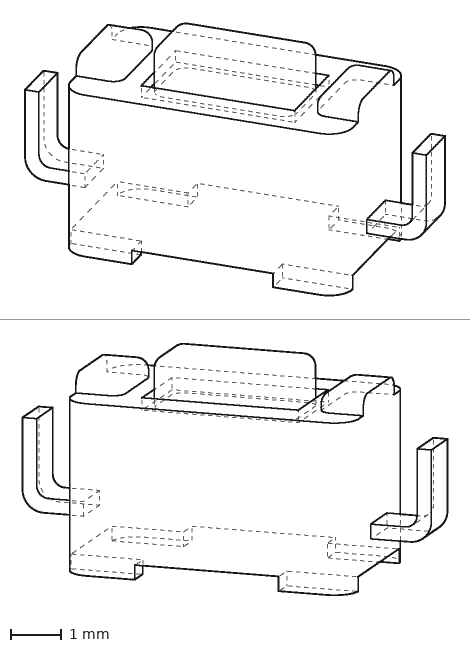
import cadquery as cq

body_length = 6.0
body_width = 3.5
body_height = 3.5
corner_radius = 0.5

foot_height = 0.3
long_channel_width = body_width - 2 * corner_radius
cross_channel_width = body_length / 2

button_length = body_length / 2
button_width = 1.5
total_height = 4.3
recess_length = 3.26
recess_width = 1.83
recess_depth = 0.25
edge_radius = 0.26

guard_length = 0.95
guard_width = 1.905
guard_height = 0.4

lead_span = 8.54
lead_thickness = 0.3
lead_width = 1.0
lead_bottom = 0.9
lead_top = 2.8
lead_inner_radius = 0.25
lead_outer_radius = 0.44


def box_on(bottom, length, width, height):
    """Box centred on the Z axis with its base at the given height."""
    return (
        cq.Workplane("XY")
        .workplane(offset=bottom)
        .rect(length, width)
        .extrude(height)
    )


def make_housing():
    housing = box_on(0, body_length, body_width, body_height).edges("|Z").fillet(corner_radius)
    long_channel = box_on(0, body_length, long_channel_width, foot_height)
    cross_channel = box_on(0, cross_channel_width, body_width, foot_height)
    recess = box_on(body_height - recess_depth, recess_length, recess_width, recess_depth)
    return housing.cut(long_channel).cut(cross_channel).cut(recess)


def make_button():
    recess_floor = body_height - recess_depth
    button = box_on(recess_floor, button_length, button_width, total_height - recess_floor)
    return button.edges("|Z or >Z").fillet(edge_radius)


def make_left_guard():
    """Guard flush with the -X end face, rounded on its other three sides."""
    guard = box_on(body_height, guard_length, guard_width, guard_height)
    guard = guard.edges("|Z and >X").fillet(edge_radius)
    guard = guard.faces(">Z").edges("not <X").fillet(edge_radius)
    return guard.translate(((guard_length - body_length) / 2, 0, 0))


def make_left_lead():
    """L-shaped strip that leaves the -X end face and turns upward."""
    outer_x = -lead_span / 2
    inner_x = outer_x + lead_thickness
    root_x = -body_length / 2
    shelf_z = lead_bottom + lead_thickness
    profile = [
        (root_x, lead_bottom),
        (outer_x, lead_bottom),
        (outer_x, lead_top),
        (inner_x, lead_top),
        (inner_x, shelf_z),
        (root_x, shelf_z),
    ]
    lead = cq.Workplane("XZ").polyline(profile).close().extrude(lead_width / 2, both=True)
    lead = lead.edges(cq.NearestToPointSelector((outer_x, 0, lead_bottom))).fillet(lead_outer_radius)
    return lead.edges(cq.NearestToPointSelector((inner_x, 0, shelf_z))).fillet(lead_inner_radius)


result = make_housing().union(make_button())
for left_feature in (make_left_guard(), make_left_lead()):
    result = result.union(left_feature).union(left_feature.mirror("YZ"))